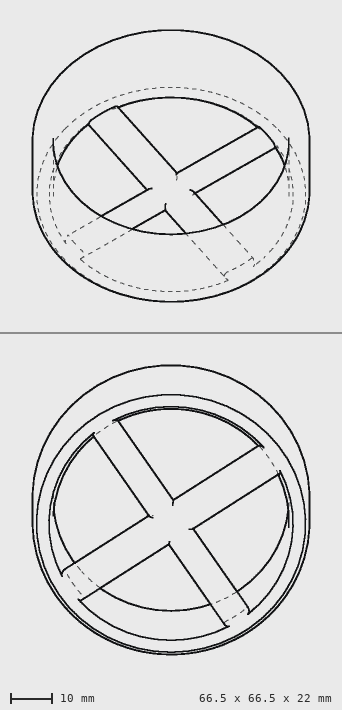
import cadquery as cq

outer_diameter = 66.5
inner_diameter = 56.5
height = 22.0
edge_radius = 1.0
bottom_chamfer = 1.0

bar_along_x_width = 8.5
bar_along_y_width = 7.0
bar_thickness = 2.0
bar_edge_radius = 0.8
bar_length = (outer_diameter + inner_diameter) / 2


def make_ring():
    """Ring with rounded upper edges and lower edges that are chamfered and blended into the sides."""
    ring = cq.Workplane("XY").circle(outer_diameter / 2).circle(inner_diameter / 2).extrude(height)
    ring = ring.faces(">Z").edges().fillet(edge_radius)
    ring = ring.faces("<Z").edges().chamfer(bottom_chamfer)
    chamfer_top_edges = ring.edges("%CIRCLE").edges(
        cq.selectors.BoxSelector(
            (-outer_diameter, -outer_diameter, bottom_chamfer / 2),
            (outer_diameter, outer_diameter, bottom_chamfer * 3 / 2),
        )
    )
    return chamfer_top_edges.fillet(edge_radius)


def make_cross():
    """Two crossing bars with their upper and lower edges rounded."""
    bar_along_x = cq.Workplane("XY").box(
        bar_length, bar_along_x_width, bar_thickness, centered=(True, True, False)
    )
    bar_along_y = cq.Workplane("XY").box(
        bar_along_y_width, bar_length, bar_thickness, centered=(True, True, False)
    )
    cross = bar_along_x.union(bar_along_y)
    return cross.faces(">Z or <Z").edges().fillet(bar_edge_radius)


result = make_ring().union(make_cross())